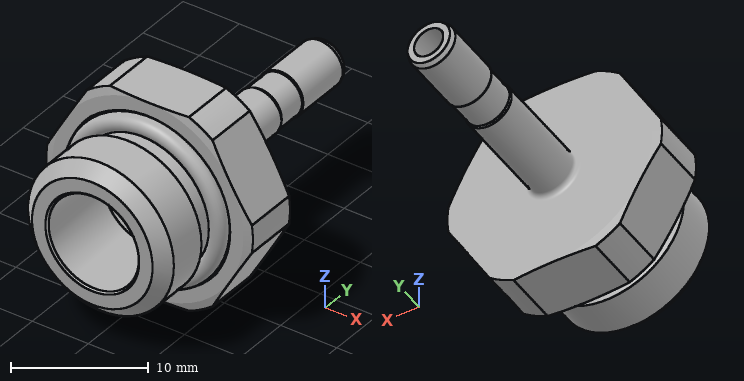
import cadquery as cq
import math

total_length = 29.0

hex_across_flats = 17.0
hex_corner_radius = 9.2
hex_front = 7.0
hex_thickness = 5.02
hex_back = hex_front + hex_thickness
hex_chamfer_length = 0.17
hex_face_radius = hex_across_flats / 2

thread_radius = 6.5
thread_tip_radius = 5.36
thread_tip_length = 1.07
thread_end = 4.52
neck_radius = 5.7
neck_start = 4.95

stem_radius = 2.0
stem_root_fillet = 0.5
stem_tip_chamfer_width = 0.17
stem_tip_chamfer_length = 0.45
stem_groove_radius = 1.9
stem_groove_front = total_length - 8.15
stem_groove_back = total_length - 5.4
stem_groove_front_taper = 0.17
stem_groove_back_taper = 0.05

bore_radius = 4.0
bore_chamfer = 0.17
bore_depth = hex_front
cone_point_angle = 118.0
passage_radius = 1.25

ring_tube_radius = 0.75
ring_protrusion = 0.95
ring_centre_radius = neck_radius + ring_tube_radius
ring_centre_y = hex_front - ring_protrusion + ring_tube_radius
recess_radius = 7.3
recess_floor = ring_centre_y + ring_tube_radius


def revolve_about_y(profile):
    """Revolve a closed (radius, Y) profile one full turn about the Y axis."""
    return profile.close().revolve(360, (0, 0, 0), (0, 1, 0))


def make_hexagon():
    """Hexagonal prism with flats facing up and down and rounded, chamfered corners."""
    corner_diameter = hex_across_flats / math.cos(math.pi / 6)
    prism = (
        cq.Workplane("XZ", origin=(0, hex_front, 0))
        .polygon(6, corner_diameter)
        .extrude(-hex_thickness)
    )
    corner_envelope = revolve_about_y(
        cq.Workplane("XY")
        .moveTo(0, hex_front)
        .lineTo(hex_face_radius, hex_front)
        .lineTo(hex_corner_radius, hex_front + hex_chamfer_length)
        .lineTo(hex_corner_radius, hex_back - hex_chamfer_length)
        .lineTo(hex_face_radius, hex_back)
        .lineTo(0, hex_back)
    )
    return prism.intersect(corner_envelope)


def make_threaded_end():
    """Plain thread cylinder with a chamfered tip and a relief neck that runs into the hexagon."""
    return revolve_about_y(
        cq.Workplane("XY")
        .lineTo(thread_tip_radius, 0)
        .lineTo(thread_radius, thread_tip_length)
        .lineTo(thread_radius, thread_end)
        .lineTo(neck_radius, neck_start)
        .lineTo(neck_radius, recess_floor)
        .lineTo(0, recess_floor)
    )


def make_stem():
    """Push-in stem with a root fillet, a shallow locking groove and a chamfered tip."""
    fillet_end = hex_back + stem_root_fillet
    fillet_outer_radius = stem_radius + stem_root_fillet
    return revolve_about_y(
        cq.Workplane("XY")
        .moveTo(0, hex_front)
        .lineTo(stem_radius, hex_front)
        .lineTo(fillet_outer_radius, hex_back)
        .radiusArc((stem_radius, fillet_end), stem_root_fillet)
        .lineTo(stem_radius, stem_groove_front)
        .lineTo(stem_groove_radius, stem_groove_front + stem_groove_front_taper)
        .lineTo(stem_groove_radius, stem_groove_back - stem_groove_back_taper)
        .lineTo(stem_radius, stem_groove_back)
        .lineTo(stem_radius, total_length - stem_tip_chamfer_length)
        .lineTo(stem_radius - stem_tip_chamfer_width, total_length)
        .lineTo(0, total_length)
    )


def make_ring_recess():
    """Annular recess around the neck that seats the sealing ring."""
    return (
        cq.Workplane("XZ", origin=(0, hex_front, 0))
        .circle(recess_radius)
        .circle(neck_radius)
        .extrude(hex_front - recess_floor)
    )


def make_bore():
    """Chamfered bore with a drill-point cone leading into the through passage."""
    cone_length = (bore_radius - passage_radius) / math.tan(math.radians(cone_point_angle / 2))
    return revolve_about_y(
        cq.Workplane("XY")
        .lineTo(bore_radius + bore_chamfer, 0)
        .lineTo(bore_radius, bore_chamfer)
        .lineTo(bore_radius, bore_depth)
        .lineTo(passage_radius, bore_depth + cone_length)
        .lineTo(passage_radius, total_length)
        .lineTo(0, total_length)
    )


def make_fitting():
    """One-piece fitting: hexagon, threaded end and stem with the bore and ring recess cut out."""
    body = make_hexagon().cut(make_ring_recess())
    body = body.union(make_threaded_end()).union(make_stem())
    return body.cut(make_bore())


def make_sealing_ring():
    """O-ring lying in the recess, touching the neck and the recess floor."""
    return (
        cq.Workplane("XY")
        .center(ring_centre_radius, ring_centre_y)
        .circle(ring_tube_radius)
        .revolve(360, (-ring_centre_radius, 0, 0), (-ring_centre_radius, 1, 0))
    )


fitting = make_fitting()
sealing_ring = make_sealing_ring()

result = cq.Compound.makeCompound([fitting.solids().val(), sealing_ring.val()])